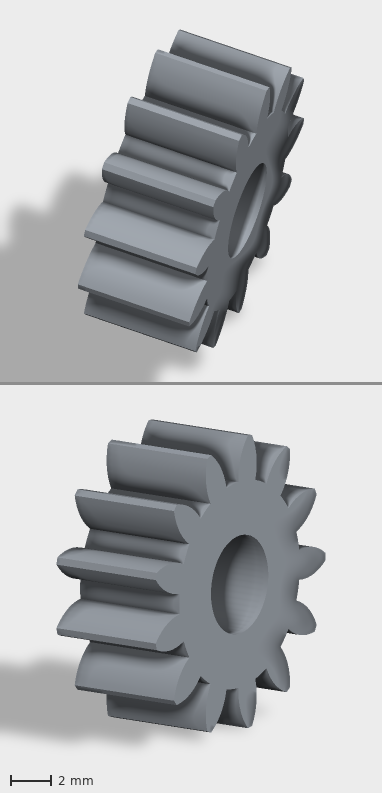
import cadquery as cq
import math

tooth_count = 13
face_width = 6.0
bore_diameter = 5.0
root_radius = 5.25
overall_height = 14.93

root_half_width = 0.75
bulge_distance = 6.43
bulge_half_width = 0.694
tip_half_width = 0.18

tooth_pitch = 360 / tooth_count
top_tooth_angle = math.radians(round(90 / tooth_pitch) * tooth_pitch)
tip_distance = (
    overall_height / 2 - tip_half_width * math.cos(top_tooth_angle)
) / math.sin(top_tooth_angle)


def make_tooth():
    """One tooth pointing along -Y, running from the gear axis to its tip."""
    root_distance = math.sqrt(root_radius**2 - root_half_width**2)
    return (
        cq.Workplane("YZ")
        .lineTo(-root_distance, root_half_width)
        .threePointArc((-bulge_distance, bulge_half_width), (-tip_distance, tip_half_width))
        .lineTo(-tip_distance, -tip_half_width)
        .threePointArc((-bulge_distance, -bulge_half_width), (-root_distance, -root_half_width))
        .close()
        .extrude(face_width)
    )


gear = cq.Workplane("YZ").circle(root_radius).extrude(face_width)
tooth = make_tooth()
for index in range(tooth_count):
    gear = gear.union(tooth.rotate((0, 0, 0), (1, 0, 0), index * tooth_pitch))

bore = cq.Workplane("YZ").circle(bore_diameter / 2).extrude(face_width)
result = gear.cut(bore)